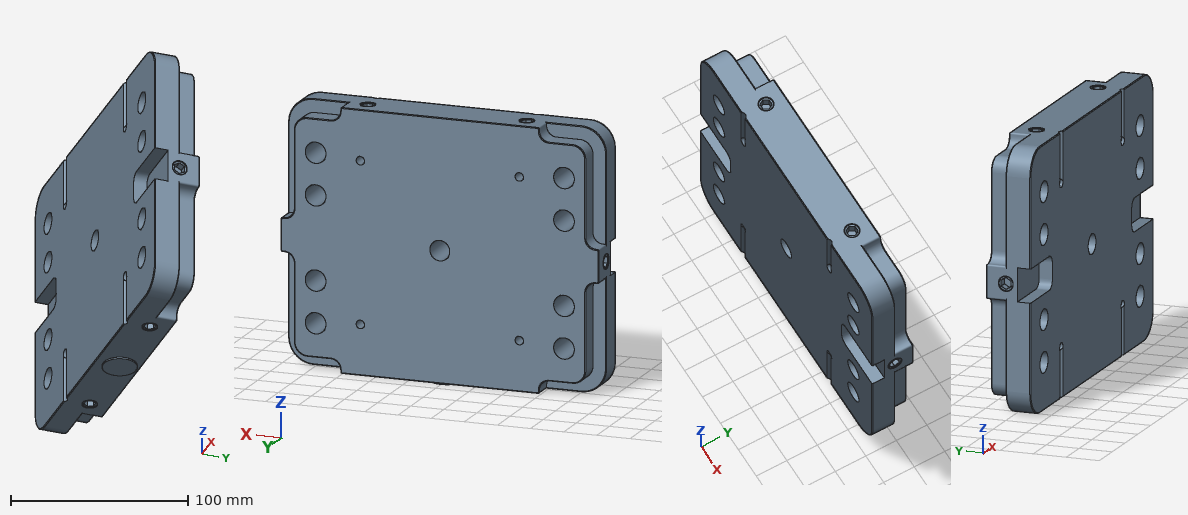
import cadquery as cq
length = 192.0
height = 156.0
thickness = 27.0
corner_radius = 15.0
edge_chamfer = 0.5

half_length = length / 2
half_height = height / 2

recess_floor = 15.0
recess_inset = 8.0
recess_corner_radius = 8.0
long_tab_half = 59.0
short_tab_half = 9.0
tab_edge_radius = 1.0
tab_foot_radius = 6.0
overcut = 10.0

bolt_hole_diameter = 12.5
bolt_hole_x = 75.0
bolt_hole_rows = (25.0, 50.0)
center_hole_diameter = 12.0
vent_hole_diameter = 5.0
vent_offset = 48.0
vent_places = (-vent_offset, vent_offset)

groove_radius = 2.5
groove_depth = 1.5

notch_length = 34.0
notch_width = 20.0
notch_depth = 8.0
notch_radius = 5.0

side_y = 15.0
screw_diameter = 8.5
screw_length = 10.0
screw_recess = 0.5
bore_chamfer = 0.25
socket_across_flats = 6.0
socket_depth = 5.0
disc_diameter = 20.0
disc_height = 1.0

SIDES = (-1, 1)


def block(depth):
    """Prism from Y = 0 to Y = depth with the rounded outline of the plate."""
    prism = cq.Workplane("XZ").rect(length, height).extrude(-depth)
    return prism.edges("|Y").fillet(corner_radius)


def recess_cutter():
    """Cutter for the recess at the +X +Z corner, through the whole thickness."""
    wall_x = half_length - recess_inset
    wall_z = half_height - recess_inset
    long_tab_wall = long_tab_half + tab_edge_radius
    short_tab_wall = short_tab_half + tab_edge_radius
    edge_x = half_length - tab_edge_radius
    edge_z = half_height - tab_edge_radius
    outer_x = half_length + overcut
    outer_z = half_height + overcut
    return (
        cq.Workplane("XZ")
        .moveTo(long_tab_half, outer_z)
        .lineTo(long_tab_half, half_height)
        .radiusArc((long_tab_wall, edge_z), tab_edge_radius)
        .lineTo(long_tab_wall, wall_z + tab_foot_radius)
        .radiusArc((long_tab_wall + tab_foot_radius, wall_z), -tab_foot_radius)
        .lineTo(wall_x - recess_corner_radius, wall_z)
        .radiusArc((wall_x, wall_z - recess_corner_radius), recess_corner_radius)
        .lineTo(wall_x, short_tab_wall + tab_foot_radius)
        .radiusArc((wall_x + tab_foot_radius, short_tab_wall), -tab_foot_radius)
        .lineTo(edge_x, short_tab_wall)
        .radiusArc((half_length, short_tab_half), tab_edge_radius)
        .lineTo(outer_x, short_tab_half)
        .lineTo(outer_x, outer_z)
        .close()
        .extrude(-thickness)
    )


def plate_blank():
    """Front layer with the full outline, joined to a core that carries the tabs."""
    front_layer = block(recess_floor).faces("<Y or >Y").chamfer(edge_chamfer)
    corner = recess_cutter()
    upper = corner.union(corner.mirror("YZ"))
    recesses = upper.union(upper.mirror("XY"))
    core = block(thickness).cut(recesses).faces("<Y or >Y").chamfer(edge_chamfer)
    return front_layer.union(core)


def through_holes(points, diameter):
    return cq.Workplane("XZ").pushPoints(points).circle(diameter / 2).extrude(-thickness)


def groove(x, side):
    """Groove in the front face from a vent hole out to the top or bottom edge."""
    run = half_height - vent_offset
    axis_y = groove_depth - groove_radius
    rod = cq.Workplane("XY").circle(groove_radius).extrude(side * run)
    return rod.translate((x, axis_y, side * vent_offset))


def notch(side):
    """Notch in the front face, open at one short end, with rounded inner corners."""
    inner_x = half_length - notch_length
    cutter = (
        cq.Workplane("XY")
        .box(notch_length + overcut, notch_depth, notch_width, centered=(False, False, True))
        .edges("<X and |Y")
        .fillet(notch_radius)
        .translate((inner_x, 0, 0))
    )
    return cutter if side > 0 else cutter.mirror("YZ")


screw_seats = [
    cq.Plane((x, side_y, side * half_height), (0, 1, 0), (0, 0, side))
    for x in vent_places
    for side in SIDES
] + [
    cq.Plane((side * half_length, side_y, 0), (0, 1, 0), (side, 0, 0))
    for side in SIDES
]


def screw_bore(seat):
    """Blind bore with a chamfered mouth."""
    radius = screw_diameter / 2
    bore = cq.Workplane(seat).circle(radius).extrude(-screw_length)
    mouth = cq.Solid.makeCone(
        radius + bore_chamfer,
        radius,
        bore_chamfer,
        pnt=seat.origin,
        dir=-seat.zDir,
    )
    return bore.union(cq.Workplane(mouth))


def set_screw(seat):
    """Set screw filling the bore from just below its mouth, with a hexagon socket."""
    face = cq.Workplane(seat).workplane(offset=-screw_recess)
    body = face.circle(screw_diameter / 2).extrude(screw_recess - screw_length)
    socket = face.polygon(6, socket_across_flats, circumscribed=True).extrude(-socket_depth)
    return body.cut(socket)


def make_plate():
    bolt_points = [
        (side * bolt_hole_x, row * z_side)
        for side in SIDES
        for row in bolt_hole_rows
        for z_side in SIDES
    ]
    vent_points = [(x, z) for x in vent_places for z in vent_places]
    body = plate_blank()
    body = body.cut(through_holes(bolt_points, bolt_hole_diameter))
    body = body.cut(through_holes([(0, 0)], center_hole_diameter))
    body = body.cut(through_holes(vent_points, vent_hole_diameter))
    for side in SIDES:
        body = body.cut(notch(side))
        for x in vent_places:
            body = body.cut(groove(x, side))
    for seat in screw_seats:
        body = body.cut(screw_bore(seat))
    return body


def make_disc():
    """Round disc standing on the bottom edge of the plate."""
    return (
        cq.Workplane("XY")
        .circle(disc_diameter / 2)
        .extrude(-disc_height)
        .translate((0, side_y, -half_height))
    )


plate = make_plate()
set_screws = [set_screw(seat) for seat in screw_seats]
disc = make_disc()

result = cq.Compound.makeCompound(
    [plate.val(), *[screw.val() for screw in set_screws], disc.val()]
)